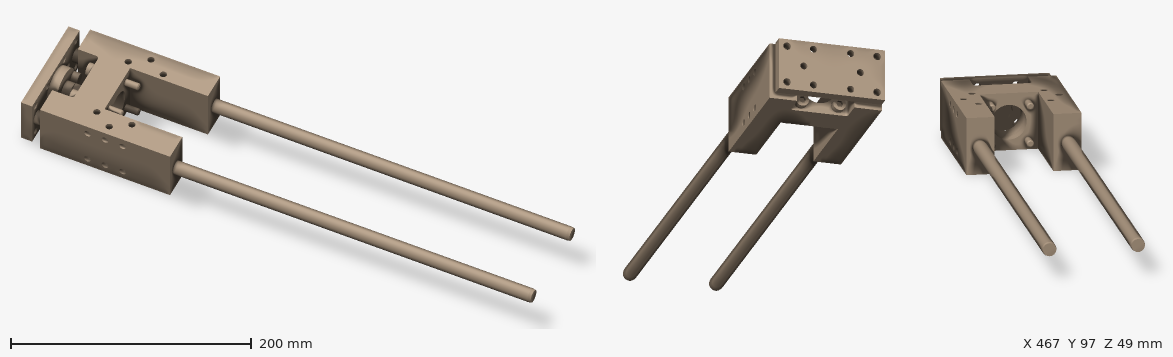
import cadquery as cq
import math

TOTAL_LENGTH = 467.0
AXIS_Z = -0.55
SCREW_PITCH = 32.0

PLATE_THICKNESS = 10.5
PLATE_WIDTH = 92.0
PLATE_HEIGHT = 45.0
CORNER_HOLE_DIAMETER = 6.5
CORNER_HOLE_PITCH_Y = 78.0
SMALL_HOLE_DIAMETER = 6.0
SIDE_HOLE_PITCH_Y = 49.0

ROD_DIAMETER = 12.0
ROD_PITCH_Y = 74.5
ROD_CHAMFER_LENGTH = 3.0
ROD_CHAMFER_DEPTH = 0.5

FLANGE_DIAMETER = 37.5
FLANGE_THICKNESS = 8.5
STUB_DIAMETER = 16.0
STUB_LENGTH = 14.0
FLAT_LENGTH = 6.5
ACROSS_FLATS = 12.0
FLANGE_SCREW_PITCH_Y = 31.0
FLANGE_HEAD_DIAMETER = 10.0
FLANGE_HEAD_HEIGHT = 6.0

HOUSING_FRONT = 18.5
HOUSING_LENGTH = 119.5
HOUSING_WIDTH = 97.0
HOUSING_HEIGHT = 49.0
ARM_WIDTH = 24.0
BAR_FRONT = 38.5
BAR_BACK = 67.0
SLOT_FILLET = 3.0
BORE_DIAMETER = 30.0

HOLE_DIAMETER = 6.0
DOWEL_DEPTH = 10.0
THREAD_DEPTH = 10.0
DRILL_DIAMETER = 5.0
DRILL_DEPTH = 11.5
DRILL_TIP_HEIGHT = 1.5
PATTERN_X = 78.5
SIDE_ROWS_Z = -0.25
TAPPED_PITCH_Y = 60.5
DOWEL_PITCH_Y = 81.0

BAR_HEAD_DIAMETER = 11.0
BAR_HEAD_HEIGHT = 6.0
BAR_SHANK_DIAMETER = 6.0
BAR_SHANK_END = 79.5
BAR_SHANK_CHAMFER = 1.0
BAR_SOCKET_ACROSS_FLATS = 5.0
BAR_SOCKET_DEPTH = 3.0

PLATE_BACK = PLATE_THICKNESS
FLANGE_BACK = PLATE_BACK + FLANGE_THICKNESS
STUB_BACK = FLANGE_BACK + STUB_LENGTH
HOUSING_BACK = HOUSING_FRONT + HOUSING_LENGTH
SLOT_WIDTH = HOUSING_WIDTH - 2 * ARM_WIDTH
HALF_PITCH = SCREW_PITCH / 2
ROD_POINTS = [(side * ROD_PITCH_Y / 2, AXIS_Z) for side in (-1, 1)]
SCREW_POINTS = [
    (side * HALF_PITCH, AXIS_Z + level * HALF_PITCH) for side in (-1, 1) for level in (-1, 1)
]


def box(x0, x1, width, height, z=0.0):
    """Block from x0 to x1, centred on y = 0 and on the given height."""
    block = cq.Workplane("XY").box(x1 - x0, width, height, centered=(False, True, True))
    return block.translate((x0, 0, z))


def x_cylinders(points, x0, x1, diameter):
    """Cylinders along X at the given (y, z) points."""
    return cq.Workplane("YZ", origin=(x0, 0, 0)).pushPoints(points).circle(diameter / 2).extrude(x1 - x0)


def plate():
    body = box(0, PLATE_BACK, PLATE_WIDTH, PLATE_HEIGHT, AXIS_Z)
    corners = [
        (side * CORNER_HOLE_PITCH_Y / 2, AXIS_Z + level * HALF_PITCH)
        for side in (-1, 1)
        for level in (-1, 1)
    ]
    sides = [(side * SIDE_HOLE_PITCH_Y / 2, AXIS_Z) for side in (-1, 1)]
    body = body.cut(x_cylinders(corners, 0, PLATE_BACK, CORNER_HOLE_DIAMETER))
    return body.cut(x_cylinders(SCREW_POINTS + sides, 0, PLATE_BACK, SMALL_HOLE_DIAMETER))


def rods():
    shafts = x_cylinders(ROD_POINTS, PLATE_BACK, TOTAL_LENGTH, ROD_DIAMETER)
    return shafts.faces(">X").edges().chamfer(ROD_CHAMFER_LENGTH, ROD_CHAMFER_DEPTH)


def coupling():
    center = [(0, AXIS_Z)]
    flange = x_cylinders(center, PLATE_BACK, FLANGE_BACK, FLANGE_DIAMETER)
    stub = x_cylinders(center, FLANGE_BACK, STUB_BACK, STUB_DIAMETER)
    flats_start = STUB_BACK - FLAT_LENGTH
    outside = box(flats_start, STUB_BACK, STUB_DIAMETER, STUB_DIAMETER, AXIS_Z)
    between = box(flats_start, STUB_BACK, STUB_DIAMETER, ACROSS_FLATS, AXIS_Z)
    stub = stub.cut(outside.cut(between))
    points = [(side * FLANGE_SCREW_PITCH_Y / 2, AXIS_Z) for side in (-1, 1)]
    head_back = FLANGE_BACK + FLANGE_HEAD_HEIGHT
    heads = x_cylinders(points, FLANGE_BACK, head_back, FLANGE_HEAD_DIAMETER)
    return flange.union(stub).union(heads)


def slide():
    """Front plate with its rods and coupling, moving as one body."""
    return plate().union(rods()).union(coupling())


def bar_screws():
    head_front = BAR_FRONT - BAR_HEAD_HEIGHT
    heads = x_cylinders(SCREW_POINTS, head_front, BAR_FRONT, BAR_HEAD_DIAMETER)
    hexagon_diameter = BAR_SOCKET_ACROSS_FLATS / math.cos(math.pi / 6)
    socket_plane = cq.Workplane("YZ", origin=(head_front, 0, 0)).pushPoints(SCREW_POINTS)
    sockets = socket_plane.polygon(6, hexagon_diameter).extrude(BAR_SOCKET_DEPTH)
    shanks = x_cylinders(SCREW_POINTS, BAR_FRONT, BAR_SHANK_END, BAR_SHANK_DIAMETER)
    shanks = shanks.faces(">X").edges().chamfer(BAR_SHANK_CHAMFER)
    return heads.cut(sockets).union(shanks)


def dowel_hole(place, inward):
    """Flat-bottomed round hole running inward from a point on the surface."""
    return cq.Solid.makeCylinder(HOLE_DIAMETER / 2, DOWEL_DEPTH, place, inward)


def tapped_hole(place, inward):
    """Threaded hole with a narrower drilled end and a conical tip."""
    thread = cq.Solid.makeCylinder(HOLE_DIAMETER / 2, THREAD_DEPTH, place, inward)
    drill = cq.Solid.makeCylinder(DRILL_DIAMETER / 2, DRILL_DEPTH, place, inward)
    tip_place = place + inward * DRILL_DEPTH
    tip = cq.Solid.makeCone(DRILL_DIAMETER / 2, 0, DRILL_TIP_HEIGHT, tip_place, inward)
    return thread.fuse(drill, tip)


def cut_top_holes(body):
    """A dowel hole and two tapped holes in the top of each arm."""
    down = cq.Vector(0, 0, -1)
    top = HOUSING_HEIGHT / 2
    for side in (-1, 1):
        dowel_y = side * DOWEL_PITCH_Y / 2
        body = body.cut(dowel_hole(cq.Vector(PATTERN_X, dowel_y, top), down))
        for end in (-1, 1):
            place = cq.Vector(PATTERN_X + end * HALF_PITCH, side * TAPPED_PITCH_Y / 2, top)
            body = body.cut(tapped_hole(place, down))
    return body


def cut_side_holes(body):
    """Two rows on each outer side: a dowel hole between two tapped holes."""
    for side in (-1, 1):
        inward = cq.Vector(0, -side, 0)
        y = side * HOUSING_WIDTH / 2
        for level in (-1, 1):
            z = SIDE_ROWS_Z + level * HALF_PITCH
            body = body.cut(dowel_hole(cq.Vector(PATTERN_X, y, z), inward))
            for end in (-1, 1):
                place = cq.Vector(PATTERN_X + end * HALF_PITCH, y, z)
                body = body.cut(tapped_hole(place, inward))
    return body


def housing():
    """H-shaped block with its screws, sliding on the rods."""
    body = box(HOUSING_FRONT, HOUSING_BACK, HOUSING_WIDTH, HOUSING_HEIGHT)
    front_slot = box(HOUSING_FRONT, BAR_FRONT, SLOT_WIDTH, HOUSING_HEIGHT)
    back_slot = box(BAR_BACK, HOUSING_BACK, SLOT_WIDTH, HOUSING_HEIGHT)
    body = body.cut(front_slot.edges("|Z and >X").fillet(SLOT_FILLET))
    body = body.cut(back_slot)
    body = body.cut(x_cylinders([(0, AXIS_Z)], BAR_FRONT, BAR_BACK, BORE_DIAMETER))
    body = cut_side_holes(cut_top_holes(body))
    body = body.cut(x_cylinders(ROD_POINTS, HOUSING_FRONT, HOUSING_BACK, ROD_DIAMETER))
    return body.union(bar_screws())


result = cq.Compound.makeCompound([slide().solids().val(), housing().solids().val()])